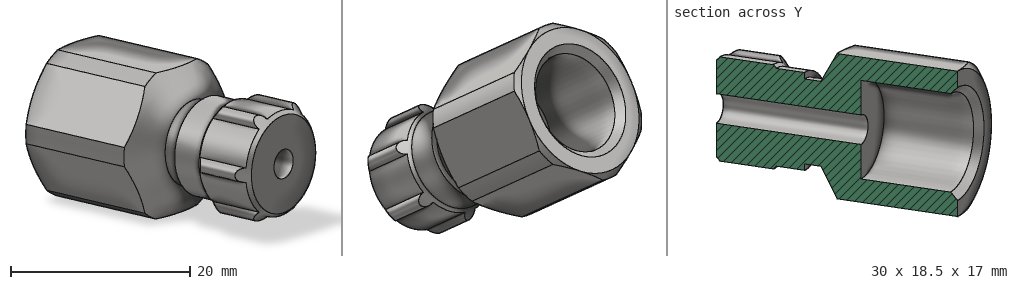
import cadquery as cq
import math

total_length = 30.0
across_flats = 17.0
corner_diameter = 18.48
hex_end = 14.58
hex_chamfer_angle = 30.0

neck_diameter = 10.0
collar_diameter = 11.5
collar_start = 19.02

knob_start = 22.53
knob_diameter = 12.25
knob_face_diameter = 11.35
rib_count = 6
rib_radius = 0.85
rib_tip_diameter = 13.95

bore_diameter = 11.45
bore_mouth_diameter = 13.2
bore_chamfer_depth = 0.87
bore_depth = 12.0
hole_diameter = 3.4


def revolve_profile(points):
    """Revolve (x, radius) points about the X axis."""
    return cq.Workplane("XY").polyline(points).close().revolve(360, (0, 0, 0), (1, 0, 0))


def make_body():
    """Hexagon with turned corners, a chamfered mouth end and a cone down to the neck."""
    flat_radius = across_flats / 2
    corner_radius = corner_diameter / 2
    neck_radius = neck_diameter / 2
    chamfer_length = (corner_radius - flat_radius) * math.tan(math.radians(hex_chamfer_angle))
    cone_length = (corner_radius - neck_radius) * math.tan(math.radians(hex_chamfer_angle))
    cone_end = hex_end + cone_length
    turned = revolve_profile([
        (0, 0),
        (0, flat_radius),
        (chamfer_length, corner_radius),
        (hex_end, corner_radius),
        (cone_end, neck_radius),
        (collar_start, neck_radius),
        (collar_start, 0),
    ])
    across_corners = across_flats / math.cos(math.pi / 6)
    hexagon = cq.Workplane("YZ").polygon(6, across_corners).extrude(collar_start)
    return turned.intersect(hexagon)


def make_collar():
    return (
        cq.Workplane("YZ", origin=(collar_start, 0, 0))
        .circle(collar_diameter / 2)
        .extrude(knob_start - collar_start)
    )


def make_knob():
    """Ribbed cylinder whose ends and ribs share 45 degree conical chamfers."""
    length = total_length - knob_start
    start_plane = cq.Workplane("YZ", origin=(knob_start, 0, 0))
    knob = start_plane.circle(knob_diameter / 2).extrude(length)
    ribs = (
        start_plane
        .polarArray(rib_tip_diameter / 2 - rib_radius, 0, 360, rib_count)
        .circle(rib_radius)
        .extrude(length)
    )
    tip_radius = rib_tip_diameter / 2
    start_radius = collar_diameter / 2
    face_radius = knob_face_diameter / 2
    envelope = revolve_profile([
        (knob_start, 0),
        (knob_start, start_radius),
        (knob_start + tip_radius - start_radius, tip_radius),
        (total_length - (tip_radius - face_radius), tip_radius),
        (total_length, face_radius),
        (total_length, 0),
    ])
    return knob.union(ribs).intersect(envelope)


def make_bore():
    """Chamfered blind bore followed by a smaller hole through the whole part."""
    return revolve_profile([
        (0, 0),
        (0, bore_mouth_diameter / 2),
        (bore_chamfer_depth, bore_diameter / 2),
        (bore_depth, bore_diameter / 2),
        (bore_depth, hole_diameter / 2),
        (total_length, hole_diameter / 2),
        (total_length, 0),
    ])


result = make_body().union(make_collar()).union(make_knob()).cut(make_bore())